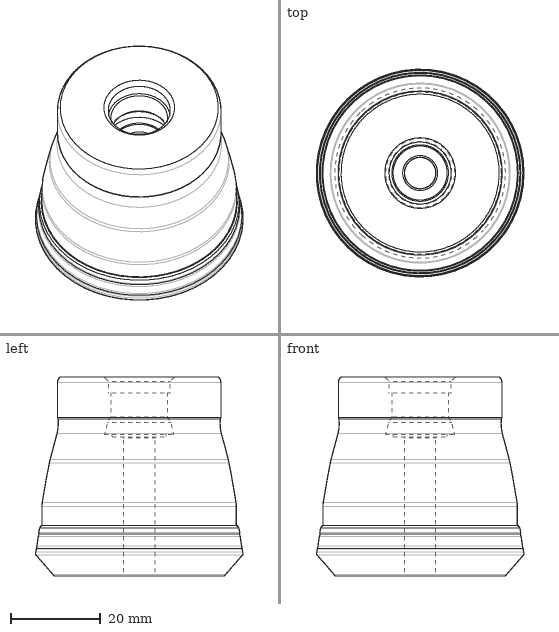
import cadquery as cq

total_height = 44.45
foot_height = 11.28

foot_bottom_radius = 19.02
foot_bottom_bevel_height = 0.35
foot_cone_start_radius = 19.3
foot_widest_radius = 23.2
foot_belt_bottom_z = 4.75
foot_belt_top_z = 5.45
foot_belt_middle_z = (foot_belt_bottom_z + foot_belt_top_z) / 2
foot_belt_edge_radius = 23.1
lower_step_bottom_z = 6.05
lower_step_bottom_radius = 23.0
lower_step_top_z = 6.2
lower_step_top_radius = 22.9
lower_groove_top_z = 6.77
lower_groove_radius = 22.88
upper_groove_bottom_z = 8.85
upper_groove_bottom_radius = 22.55
upper_groove_middle_z = 9.35
upper_groove_radius = 22.4
upper_groove_top_z = 9.75
upper_groove_top_radius = 22.45
shoulder_z = 10.75
shoulder_radius = 22.25
foot_top_radius = 21.9

skirt_radius = 21.7
skirt_top_z = 15.6
belly_bottom_radius = 21.65
belly_bottom_z = 16.43
belly_middle_radius = 20.93
belly_middle_z = 20.85
belly_top_radius = 20.1
belly_top_z = 25.25
cone_bottom_radius = 19.9
cone_bottom_z = 26.1
cone_top_radius = 18.37
cone_top_z = 31.8
waist_radius = 18.1
waist_z = 34.25
waist_top_radius = 18.15
waist_top_z = 35.1
head_radius = 18.3
head_bottom_z = 35.4
head_round_height = 1.25
head_top_radius = 17.65

mouth_radius = 7.9
mouth_depth = 0.97
entry_radius = 6.9
entry_depth = 3.55
socket_radius = 6.3
socket_depth = 8.9
hollow_neck_radius = 7.05
hollow_neck_depth = 10.1
hollow_radius = 7.7
hollow_depth = 12.9
floor_recess_radius = 6.05
floor_recess_depth = hollow_depth + 0.45

bolt_hole_radius = 3.5
bolt_hole_mouth_radius = 3.9
bolt_hole_mouth_depth = floor_recess_depth + 0.25


def revolve_profile(profile):
    """Close a half-section of radius and height and turn it about the Z axis."""
    return profile.close().revolve(360, (0, 0, 0), (0, 1, 0))


def make_foot():
    """Flared ring with a tapered underside and shallow bands around its rim."""
    profile = (
        cq.Workplane("XZ")
        .moveTo(bolt_hole_radius, 0)
        .lineTo(foot_bottom_radius, 0)
        .lineTo(foot_cone_start_radius, foot_bottom_bevel_height)
        .lineTo(foot_belt_edge_radius, foot_belt_bottom_z)
        .threePointArc((foot_widest_radius, foot_belt_middle_z), (foot_belt_edge_radius, foot_belt_top_z))
        .lineTo(lower_step_bottom_radius, lower_step_bottom_z)
        .lineTo(lower_step_top_radius, lower_step_top_z)
        .lineTo(lower_groove_radius, lower_groove_top_z)
        .lineTo(upper_groove_bottom_radius, upper_groove_bottom_z)
        .lineTo(upper_groove_radius, upper_groove_middle_z)
        .lineTo(upper_groove_top_radius, upper_groove_top_z)
        .lineTo(shoulder_radius, shoulder_z)
        .lineTo(foot_top_radius, foot_height)
        .lineTo(bolt_hole_radius, foot_height)
    )
    return revolve_profile(profile)


def make_housing():
    """Bell-shaped body that stands on the foot, with the bore cut out."""
    profile = (
        cq.Workplane("YZ")
        .moveTo(0, foot_height)
        .lineTo(skirt_radius, foot_height)
        .lineTo(skirt_radius, skirt_top_z)
        .tangentArcPoint((belly_bottom_radius, belly_bottom_z), relative=False)
        .threePointArc((belly_middle_radius, belly_middle_z), (belly_top_radius, belly_top_z))
        .tangentArcPoint((cone_bottom_radius, cone_bottom_z), relative=False)
        .lineTo(cone_top_radius, cone_top_z)
        .threePointArc((waist_radius, waist_z), (waist_top_radius, waist_top_z))
        .lineTo(head_radius, head_bottom_z)
        .lineTo(head_radius, total_height - head_round_height)
        .tangentArcPoint((head_top_radius, total_height), relative=False)
        .lineTo(0, total_height)
    )
    return revolve_profile(profile).cut(make_bore())


def make_bore():
    """Stepped socket that widens into a hollow, then narrows to the bolt hole."""
    profile = (
        cq.Workplane("YZ")
        .moveTo(0, total_height)
        .lineTo(mouth_radius, total_height)
        .lineTo(entry_radius, total_height - mouth_depth)
        .lineTo(entry_radius, total_height - entry_depth)
        .lineTo(socket_radius, total_height - entry_depth)
        .lineTo(socket_radius, total_height - socket_depth)
        .lineTo(hollow_neck_radius, total_height - hollow_neck_depth)
        .lineTo(hollow_radius, total_height - hollow_depth)
        .lineTo(floor_recess_radius, total_height - hollow_depth)
        .lineTo(floor_recess_radius, total_height - floor_recess_depth)
        .lineTo(bolt_hole_mouth_radius, total_height - floor_recess_depth)
        .lineTo(bolt_hole_radius, total_height - bolt_hole_mouth_depth)
        .lineTo(bolt_hole_radius, foot_height)
        .lineTo(0, foot_height)
    )
    return revolve_profile(profile)


foot = make_foot()
housing = make_housing()

result = cq.Compound.makeCompound([foot.val(), housing.val()])